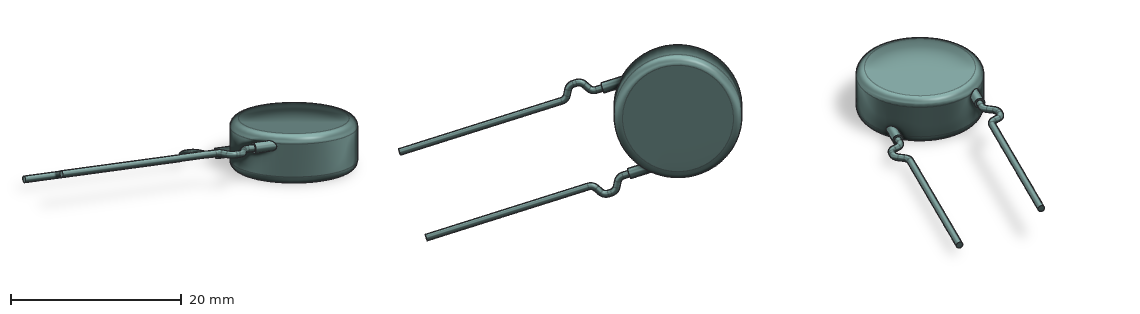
import cadquery as cq
import math

disc_diameter = 15.0
disc_thickness = 6.0
disc_edge_radius = 1.0
disc_radius = disc_diameter / 2

lead_diameter = 0.8
lead_spacing = 10.0
lead_height = 1.63
lead_straight_length = 20.0
lead_tip_y = -32.69
lead_x = lead_spacing / 2

bend_radius = 0.9
bend_angle = math.radians(60)
kink_offset = 1.55
crest_length = 0.4
bend_side = bend_radius * (1 - math.cos(bend_angle))
bend_rise = bend_radius * math.sin(bend_angle)
slope_side = kink_offset - 2 * bend_side
slope_rise = slope_side / math.tan(bend_angle)
flank_length = 2 * bend_rise + slope_rise
kink_end_y = lead_tip_y + lead_straight_length
kink_start_y = kink_end_y + 2 * flank_length + crest_length

sleeve_diameter = 1.26
sleeve_end_y = -7.66
sleeve_root_y = -4.0
lead_root_y = -math.sqrt(disc_radius**2 - lead_x**2)

lead_sides = [(1, 1), (-1, -1)]


def rod_along_y(x, z, diameter, start_y, end_y):
    """Round rod parallel to Y that runs from start_y down to end_y."""
    plane = cq.Plane(origin=(x, start_y, z), xDir=(1, 0, 0), normal=(0, -1, 0))
    return cq.Workplane(plane).circle(diameter / 2).extrude(start_y - end_y)


def make_coating():
    """Rounded disc with a sleeve and a lead hole on each side."""
    coating = (
        cq.Workplane("XY", origin=(0, 0, -disc_thickness / 2))
        .circle(disc_radius)
        .extrude(disc_thickness)
        .faces("|Z")
        .edges()
        .fillet(disc_edge_radius)
    )
    for side_x, side_z in lead_sides:
        x = side_x * lead_x
        z = side_z * lead_height
        coating = coating.union(rod_along_y(x, z, sleeve_diameter, sleeve_root_y, sleeve_end_y))
        coating = coating.cut(rod_along_y(x, z, lead_diameter, lead_root_y, sleeve_end_y))
    return coating


def make_lead(side_x, side_z):
    """Round wire swept along a straight, the outward kink and a long straight."""
    x = side_x * lead_x
    z = side_z * lead_height
    half_side = bend_radius * (1 - math.cos(bend_angle / 2))
    half_rise = bend_radius * math.sin(bend_angle / 2)
    crest_start_y = kink_start_y - flank_length
    crest_end_y = crest_start_y - crest_length

    def point(outward, y):
        return (x + side_x * outward, y)

    path = (
        cq.Workplane("XY", origin=(0, 0, z))
        .moveTo(*point(0, lead_root_y))
        .lineTo(*point(0, kink_start_y))
        .threePointArc(
            point(half_side, kink_start_y - half_rise),
            point(bend_side, kink_start_y - bend_rise),
        )
        .lineTo(*point(kink_offset - bend_side, crest_start_y + bend_rise))
        .threePointArc(
            point(kink_offset - half_side, crest_start_y + half_rise),
            point(kink_offset, crest_start_y),
        )
        .lineTo(*point(kink_offset, crest_end_y))
        .threePointArc(
            point(kink_offset - half_side, crest_end_y - half_rise),
            point(kink_offset - bend_side, crest_end_y - bend_rise),
        )
        .lineTo(*point(bend_side, kink_end_y + bend_rise))
        .threePointArc(point(half_side, kink_end_y + half_rise), point(0, kink_end_y))
        .lineTo(*point(0, lead_tip_y))
    )
    root = cq.Plane(origin=(x, lead_root_y, z), xDir=(1, 0, 0), normal=(0, -1, 0))
    return cq.Workplane(root).circle(lead_diameter / 2).sweep(path)


coating = make_coating()
leads = [make_lead(side_x, side_z) for side_x, side_z in lead_sides]

result = cq.Compound.makeCompound([coating.solids().val(), *[lead.val() for lead in leads]])